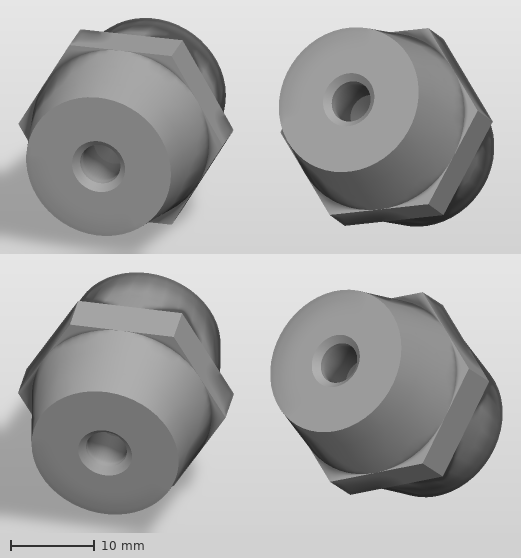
import cadquery as cq
import math

length = 25.0
hex_width = 22.0
hex_thickness = 5.0
end_radius = 9.0

insert_radius = 4.8
insert_length = 10.0
bore_radius = 2.5
bore_depth = 7.0
countersink = 0.8
tip_angle = 118.0

end_y = length / 2
collar_y = hex_thickness / 2
collar_radius = hex_width / 2
hex_corner_diameter = hex_width / math.cos(math.radians(30))
tip_height = bore_radius / math.tan(math.radians(tip_angle / 2))


def revolve_about_y(points):
    """Solid of revolution from a closed outline of (radius, y) points."""
    profile = cq.Workplane("XY").polyline(points).close()
    return profile.revolve(360, (0, 0, 0), (0, 1, 0))


def make_housing():
    """Double cone with a hexagonal collar and a blind recess in each end."""
    cones = revolve_about_y([
        (0, -end_y),
        (end_radius, -end_y),
        (collar_radius, -collar_y),
        (collar_radius, collar_y),
        (end_radius, end_y),
        (0, end_y),
    ])
    collar = (
        cq.Workplane("XZ")
        .polygon(6, hex_corner_diameter)
        .extrude(collar_y, both=True)
    )
    recess = (
        cq.Workplane("XZ", origin=(0, -end_y, 0))
        .circle(insert_radius)
        .extrude(-insert_length)
    )
    return cones.union(collar).cut(recess).cut(recess.mirror("XZ"))


def make_insert(end):
    """Bush with a countersunk, drill-tipped blind bore; end is -1 for the -Y end, +1 for the +Y end."""
    insert = revolve_about_y([
        (bore_radius + countersink, -end_y),
        (insert_radius, -end_y),
        (insert_radius, -end_y + insert_length),
        (0, -end_y + insert_length),
        (0, -end_y + bore_depth + tip_height),
        (bore_radius, -end_y + bore_depth),
        (bore_radius, -end_y + countersink),
    ])
    if end > 0:
        insert = insert.mirror("XZ")
    return insert


housing = make_housing()
inserts = [make_insert(end) for end in (-1, 1)]

result = cq.Compound.makeCompound([housing.val(), *[insert.val() for insert in inserts]])